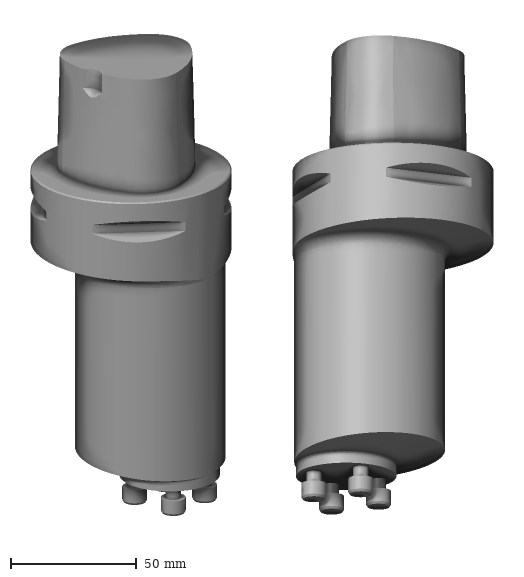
import cadquery as cq
import math

total_length = 183.5

shank_height = 47.7
shank_inset = 1.2
lobe_count = 3
lobe_reach = 29.7
flank_reach = 25.3
lobe_radius = 16.7

notch_radius = 6.2
notch_axis_y = -27.9
notch_depth = 8.0

flange_radius = 40.0
flange_edge_z = -30.3
flange_underside_angle = 10.5
flange_chamfer = 0.5

groove_count = 4
groove_first_angle = 45
groove_z = -12.3
groove_floor_height = 3.7
groove_floor_offset = 35.5
groove_side_angle = 30

body_diameter = 60.0
body_radius = body_diameter / 2
body_x = flange_radius - body_radius
body_edge_z = -114.9
body_end_angle = 15
body_fillet = 4.0

pilot_radius = 20.0
pilot_x = flange_radius - pilot_radius
pilot_bottom_z = -124.8
pilot_fillet = 0.7

screw_spacing_x = 20.0
screw_spacing_y = 19.5
screw_diameter = 6.0
screw_head_radius = 5.0
screw_head_height = 6.5
screw_chamfer_height = 1.0
screw_chamfer_width = 0.5
screw_bottom_z = shank_height - total_length

cut_margin = 1.8


def polar(radius, degrees):
    angle = math.radians(degrees)
    return cq.Vector(radius * math.cos(angle), radius * math.sin(angle))


def cylinder(x, y, radius, bottom_z, top_z):
    return cq.Workplane("XY", origin=(x, y, bottom_z)).circle(radius).extrude(top_z - bottom_z)


def lobed_outline(inset, z):
    """Closed outline of alternating, tangent lobe and flank arcs with one lobe towards +Y."""
    pitch = 360 / lobe_count
    lobe_offset = lobe_reach - lobe_radius
    gap = flank_reach - lobe_radius
    flank_offset = (lobe_offset**2 - gap**2) / 2 / (gap - lobe_offset * math.cos(math.radians(pitch / 2)))

    def seam(lobe_angle, flank_angle):
        lobe_center = polar(lobe_offset, lobe_angle)
        flank_center = polar(-flank_offset, flank_angle)
        return lobe_center + (lobe_center - flank_center).normalized() * (lobe_radius - inset)

    arcs = []
    for i in range(lobe_count):
        lobe = 90 + pitch * i
        flank = lobe + pitch / 2
        start = seam(lobe, lobe - pitch / 2)
        middle = seam(lobe, flank)
        end = seam(lobe + pitch, flank)
        arcs.append(cq.Edge.makeThreePointArc(start, polar(lobe_reach - inset, lobe), middle))
        arcs.append(cq.Edge.makeThreePointArc(middle, polar(flank_reach - inset, flank), end))
    return cq.Wire.assembleEdges(arcs).translate(cq.Vector(0, 0, z))


def make_shank():
    outlines = [lobed_outline(0, 0), lobed_outline(shank_inset, shank_height)]
    shank = cq.Workplane(cq.Solid.makeLoft(outlines, True))
    bore_bottom_z = shank_height - notch_depth
    bore = cylinder(0, notch_axis_y, notch_radius, bore_bottom_z, shank_height + cut_margin)
    tip = cq.Vector(0, notch_axis_y, bore_bottom_z - notch_radius)
    point = cq.Solid.makeCone(0, notch_radius, notch_radius, pnt=tip)
    return shank.cut(bore).cut(cq.Workplane(point))


def cone_step(axis_x, radius, cone_angle, edge_radius, edge_z, fillet, top_z):
    """Solid of revolution bounded below by a cone that ends in a fillet tangent to a cylinder.

    The cone passes through edge_z at edge_radius and rises outward at cone_angle. The
    cylinder has the given radius. The solid stops where the fillet meets that cylinder.
    """
    slope = math.tan(math.radians(cone_angle))
    corner_z = edge_z - (edge_radius - radius) * slope
    tangent_length = fillet * math.tan(math.radians((90 - cone_angle) / 2))
    fillet_end_z = corner_z - tangent_length
    on_cone = cq.Vector(radius, corner_z) + polar(tangent_length, cone_angle)
    fillet_center = cq.Vector(radius + fillet, fillet_end_z)
    on_arc = fillet_center + polar(fillet, (180 + 90 + cone_angle) / 2)
    outer_radius = edge_radius + cut_margin
    profile = (
        cq.Workplane("XZ", origin=(axis_x, 0, 0))
        .moveTo(0, fillet_end_z)
        .lineTo(radius, fillet_end_z)
        .threePointArc((on_arc.x, on_arc.y), (on_cone.x, on_cone.y))
        .lineTo(outer_radius, edge_z + cut_margin * slope)
        .lineTo(outer_radius, top_z)
        .lineTo(0, top_z)
        .close()
    )
    return profile.revolve(360, (0, 0, 0), (0, 1, 0)), fillet_end_z


def make_groove():
    """Trapezoidal cutter along Y, with its floor facing +X."""
    outer_offset = flange_radius + cut_margin
    floor_half = groove_floor_height / 2
    side_rise = (outer_offset - groove_floor_offset) * math.tan(math.radians(groove_side_angle))
    outer_half = floor_half + side_rise
    return (
        cq.Workplane("XZ", origin=(0, 0, groove_z))
        .moveTo(groove_floor_offset, -floor_half)
        .lineTo(outer_offset, -outer_half)
        .lineTo(outer_offset, outer_half)
        .lineTo(groove_floor_offset, floor_half)
        .close()
        .extrude(flange_radius, both=True)
    )


def make_flange():
    """Return the flange and the height at which its neck meets the body."""
    neck, neck_z = cone_step(
        body_x, body_radius, flange_underside_angle, flange_radius + body_x, flange_edge_z, body_fillet, 0
    )
    disc = cylinder(0, 0, flange_radius, neck_z - cut_margin, 0)
    flange = disc.faces(">Z").chamfer(flange_chamfer).intersect(neck)
    groove = make_groove()
    for i in range(groove_count):
        angle = groove_first_angle + i * 360 / groove_count
        flange = flange.cut(groove.rotate((0, 0, 0), (0, 0, 1), angle))
    return flange, neck_z


def make_body(top_z):
    """Body cylinder with its conical end, and the pilot below it."""
    edge_radius = body_radius + pilot_x - body_x
    end, end_z = cone_step(
        pilot_x, pilot_radius, body_end_angle, edge_radius, body_edge_z, pilot_fillet, top_z
    )
    body = cylinder(body_x, 0, body_radius, end_z - cut_margin, top_z).intersect(end)
    pilot = cylinder(pilot_x, 0, pilot_radius, pilot_bottom_z, end_z)
    return body.union(pilot)


def make_screw(x, y):
    head_top_z = screw_bottom_z + screw_head_height
    head = cylinder(x, y, screw_head_radius, screw_bottom_z, head_top_z)
    head = head.faces("<Z").edges().chamfer(screw_chamfer_height, screw_chamfer_width)
    return head.union(cylinder(x, y, screw_diameter / 2, head_top_z, pilot_bottom_z))


flange, neck_z = make_flange()
result = make_shank().union(flange).union(make_body(neck_z))
for side_x in (-1, 1):
    for side_y in (-1, 1):
        screw_x = pilot_x + side_x * screw_spacing_x / 2
        screw_y = side_y * screw_spacing_y / 2
        result = result.union(make_screw(screw_x, screw_y))